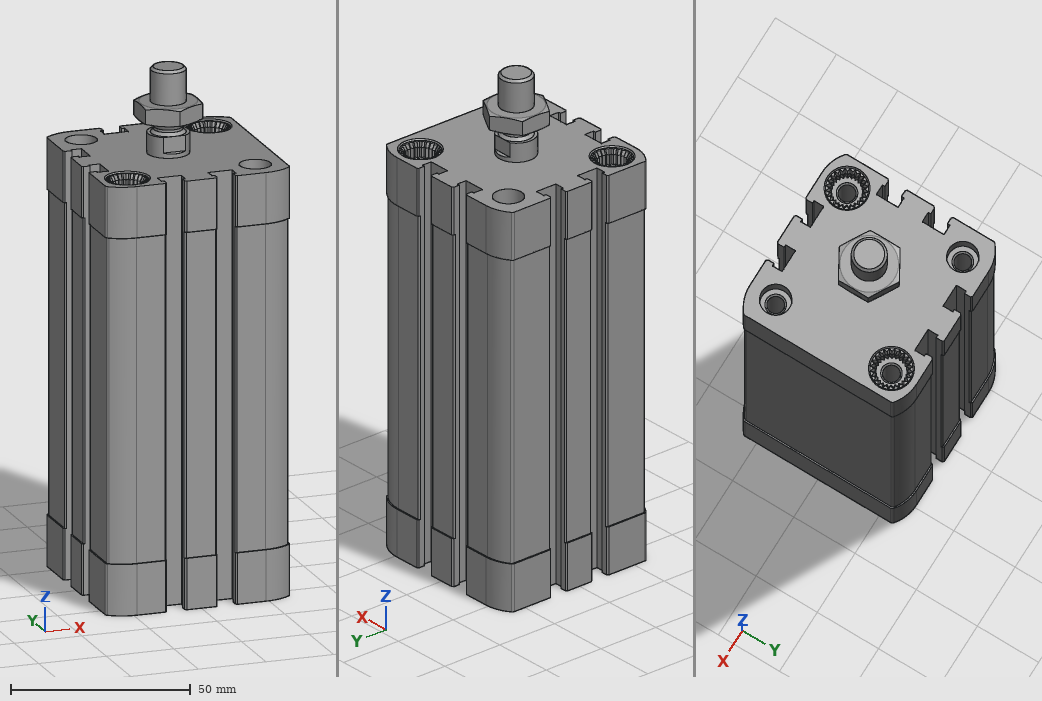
import cadquery as cq
import math

WIDTH = 54.5
HALF = WIDTH / 2
HOUSING_HEIGHT = 125.0
CAP_HEIGHT = 15.0
BARREL_INSET = 0.5
CORNER_RUN = 8.1
CORNER_RADIUS = 12.5
CORNER_EDGE_FILLET = 1.0

SLOT_OFFSET = 7.5
SLOT_OPENING = 5.4
SLOT_INNER_WIDTH = 7.0
SLOT_DEPTH = 5.5
LIP_THICKNESS = 2.4
MOUTH_CHAMFER = 0.5
SLOT_FACE_ANGLES = (-90, 90, 180)

HOLE_OFFSET = 18.9
THROUGH_DIAMETER = 5.0
LEAD_IN_DIAMETER = 6.0
RECESS_DEPTH = 5.0
RECESS_DIAMETER = 9.0
SOCKET_RIM_DIAMETER = 12.8
SOCKET_MOUTH_DIAMETER = 12.0
SOCKET_MOUTH_TIP_DIAMETER = 11.9
SOCKET_MOUTH_ROOT_DIAMETER = 10.0
SOCKET_FLARE_DEPTH = 1.5
SOCKET_TIP_DIAMETER = 10.0
SOCKET_ROOT_DIAMETER = 8.5
SOCKET_TEETH = 24

ROD_TOP = 150.1
ROD_DIAMETER = 12.0
ROD_SHOULDER_Z = 131.0
NECK_DIAMETER = 8.3
NECK_BOTTOM_Z = 132.0
NECK_TOP_Z = 132.7
THREAD_DIAMETER = 10.0
THREAD_START_Z = 135.0
TIP_CHAMFER = 0.8
FLATS_WIDTH = 10.0
FLATS_BOTTOM_Z = 126.5
FLATS_RUNOUT = 0.3

NUT_WIDTH = 17.0
NUT_BOTTOM_Z = THREAD_START_Z
NUT_THICKNESS = 5.1
NUT_CHAMFER_DIAMETER = 16.4
NUT_CHAMFER_ANGLE = 15


def profile_block(inset, bottom, height):
    """Square block whose top and bottom edges (in Y) curve in towards the side faces."""
    side = HALF - inset
    run = CORNER_RUN - inset
    flat = side - run

    def drop_at(distance):
        return CORNER_RADIUS - math.sqrt(CORNER_RADIUS**2 - distance**2)

    end = side - drop_at(run)
    middle_x = flat + run / 2
    middle_y = side - drop_at(run / 2)
    return (
        cq.Workplane("XY", origin=(0, 0, bottom))
        .moveTo(-flat, side)
        .lineTo(flat, side)
        .threePointArc((middle_x, middle_y), (side, end))
        .lineTo(side, -end)
        .threePointArc((middle_x, -middle_y), (flat, -side))
        .lineTo(-flat, -side)
        .threePointArc((-middle_x, -middle_y), (-side, -end))
        .lineTo(-side, end)
        .threePointArc((-middle_x, middle_y), (-flat, side))
        .close()
        .extrude(height)
        .edges("|Z and (<X or >X)")
        .fillet(CORNER_EDGE_FILLET)
    )


def box(x_min, x_max, y_center, y_width, height):
    """Box that stands on the Z = 0 plane."""
    return (
        cq.Workplane("XY", origin=(x_min, y_center, 0))
        .box(x_max - x_min, y_width, height, centered=(False, True, False))
    )


def slot_cutter(offset):
    """T-slot running the full height of the +X face."""
    opening = box(HALF - SLOT_DEPTH, HALF, offset, SLOT_OPENING, HOUSING_HEIGHT)
    inner = box(HALF - SLOT_DEPTH, HALF - LIP_THICKNESS, offset, SLOT_INNER_WIDTH, HOUSING_HEIGHT)
    return opening.union(inner)


def mouth_cutter(offset, face, bottom, height):
    """Chamfers the two lip edges of a T-slot that opens on a face at the given X."""
    throat = SLOT_OPENING / 2
    wide = throat + MOUTH_CHAMFER
    return (
        cq.Workplane("XY", origin=(0, offset, bottom))
        .polyline([
            (face - MOUTH_CHAMFER, -throat),
            (face, -wide),
            (face, wide),
            (face - MOUTH_CHAMFER, throat),
        ])
        .close()
        .extrude(height)
    )


def slots_on_faces(cutter):
    """Six copies of a +X face cutter: two on each slotted face."""
    return [
        cutter(offset).rotate((0, 0, 0), (0, 0, 1), angle)
        for angle in SLOT_FACE_ANGLES
        for offset in (-SLOT_OFFSET, SLOT_OFFSET)
    ]


def make_section(inset, bottom, height):
    """One length of the housing with its slot mouths chamfered."""
    section = profile_block(inset, bottom, height)
    for mouth in slots_on_faces(lambda offset: mouth_cutter(offset, HALF - inset, bottom, height)):
        section = section.cut(mouth)
    return section


def turned(points):
    """Solid of revolution about Z from (radius, z) points; the axis side is closed."""
    outline = [(0, points[0][1]), *points, (0, points[-1][1])]
    return cq.Workplane("XZ").polyline(outline).close().revolve(360, (0, 0, 0), (0, 1, 0))


def bore_cutter():
    """Through hole with a chamfered lead-in at the recess floor."""
    lead_in = (LEAD_IN_DIAMETER - THROUGH_DIAMETER) / 2
    floor = HOUSING_HEIGHT - RECESS_DEPTH
    return turned([
        (THROUGH_DIAMETER / 2, 0),
        (THROUGH_DIAMETER / 2, floor - lead_in),
        (LEAD_IN_DIAMETER / 2, floor),
    ])


def plain_recess():
    """Round counterbore."""
    return (
        cq.Workplane("XY", origin=(0, 0, HOUSING_HEIGHT - RECESS_DEPTH))
        .circle(RECESS_DIAMETER / 2)
        .extrude(RECESS_DEPTH)
    )


def star_points(tip_diameter, root_diameter):
    """Corners of a toothed outline that alternates between two diameters."""
    points = []
    for i in range(2 * SOCKET_TEETH):
        radius = (tip_diameter if i % 2 else root_diameter) / 2
        angle = math.pi * i / SOCKET_TEETH
        points.append((radius * math.cos(angle), radius * math.sin(angle)))
    return points


def toothed_recess():
    """Toothed socket: chamfered rim, flared toothed mouth, straight toothed bore."""
    rim_depth = (SOCKET_RIM_DIAMETER - SOCKET_MOUTH_DIAMETER) / 2
    mouth_top = HOUSING_HEIGHT - rim_depth
    rim = turned([
        (SOCKET_MOUTH_DIAMETER / 2, mouth_top),
        (SOCKET_RIM_DIAMETER / 2, HOUSING_HEIGHT),
    ])
    floor = HOUSING_HEIGHT - RECESS_DEPTH
    straight_height = RECESS_DEPTH - rim_depth - SOCKET_FLARE_DEPTH
    bore_outline = star_points(SOCKET_TIP_DIAMETER, SOCKET_ROOT_DIAMETER)
    mouth_outline = star_points(SOCKET_MOUTH_TIP_DIAMETER, SOCKET_MOUTH_ROOT_DIAMETER)
    bore = cq.Workplane("XY", origin=(0, 0, floor)).polyline(bore_outline).close().extrude(straight_height)
    flare = (
        cq.Workplane("XY", origin=(0, 0, floor + straight_height))
        .polyline(bore_outline)
        .close()
        .workplane(offset=SOCKET_FLARE_DEPTH)
        .polyline(mouth_outline)
        .close()
        .loft(ruled=True)
    )
    return bore.union(flare).union(rim)


def make_housing():
    """Barrel and two end caps in one solid, with slots and corner holes."""
    housing = make_section(BARREL_INSET, CAP_HEIGHT, HOUSING_HEIGHT - 2 * CAP_HEIGHT)
    for cap_bottom in (0, HOUSING_HEIGHT - CAP_HEIGHT):
        housing = housing.union(make_section(0, cap_bottom, CAP_HEIGHT))
    for slot in slots_on_faces(slot_cutter):
        housing = housing.cut(slot)
    for side_x in (-1, 1):
        for side_y in (-1, 1):
            recess = toothed_recess() if side_x == side_y else plain_recess()
            place = (side_x * HOLE_OFFSET, side_y * HOLE_OFFSET, 0)
            housing = housing.cut(bore_cutter().translate(place))
            housing = housing.cut(recess.translate(place))
    return housing


def make_rod():
    """Stepped rod standing on the housing, with an undercut thread and two wrench flats."""
    rod = turned([
        (ROD_DIAMETER / 2, HOUSING_HEIGHT),
        (ROD_DIAMETER / 2, ROD_SHOULDER_Z),
        (THREAD_DIAMETER / 2, ROD_SHOULDER_Z),
        (NECK_DIAMETER / 2, NECK_BOTTOM_Z),
        (NECK_DIAMETER / 2, NECK_TOP_Z),
        (THREAD_DIAMETER / 2, THREAD_START_Z),
        (THREAD_DIAMETER / 2, ROD_TOP - TIP_CHAMFER),
        (THREAD_DIAMETER / 2 - TIP_CHAMFER, ROD_TOP),
    ])
    flat = FLATS_WIDTH / 2
    edge = ROD_DIAMETER / 2
    flat_cutter = (
        cq.Workplane("YZ")
        .polyline([
            (flat, FLATS_BOTTOM_Z),
            (edge, FLATS_BOTTOM_Z - FLATS_RUNOUT),
            (edge, ROD_SHOULDER_Z),
            (flat, ROD_SHOULDER_Z),
        ])
        .close()
        .extrude(ROD_DIAMETER / 2, both=True)
    )
    return rod.cut(flat_cutter).cut(flat_cutter.mirror("XZ"))


def make_nut():
    """Hexagon nut with two corners on the Y axis and both ends chamfered."""
    hexagon = (
        cq.Workplane("XY", origin=(0, 0, NUT_BOTTOM_Z))
        .polygon(6, NUT_WIDTH, circumscribed=True)
        .extrude(NUT_THICKNESS)
    )
    corner_radius = NUT_WIDTH / math.sqrt(3)
    chamfer_radius = NUT_CHAMFER_DIAMETER / 2
    drop = (corner_radius - chamfer_radius) * math.tan(math.radians(NUT_CHAMFER_ANGLE))
    top = NUT_BOTTOM_Z + NUT_THICKNESS
    envelope = turned([
        (chamfer_radius, NUT_BOTTOM_Z),
        (corner_radius, NUT_BOTTOM_Z + drop),
        (corner_radius, top - drop),
        (chamfer_radius, top),
    ])
    bore = (
        cq.Workplane("XY", origin=(0, 0, NUT_BOTTOM_Z))
        .circle(THREAD_DIAMETER / 2)
        .extrude(NUT_THICKNESS)
    )
    return hexagon.intersect(envelope).cut(bore)


housing = make_housing()
rod = make_rod()
nut = make_nut()

result = cq.Compound.makeCompound([housing.val(), rod.val(), nut.val()])